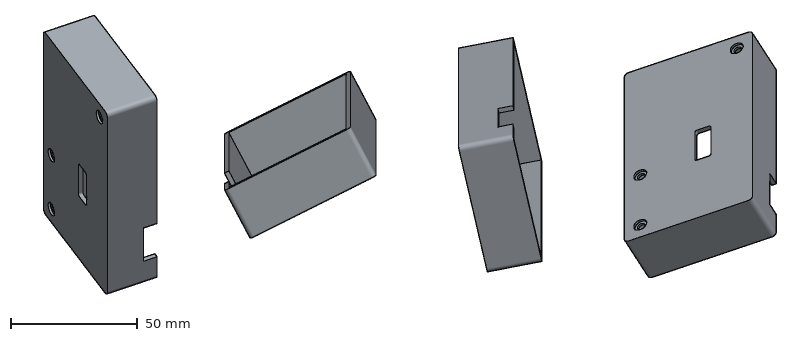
import cadquery as cq

WIDTH = 56.0
DEPTH = 22.0
HEIGHT = 96.0
WALL = 2.0
CORNER_RADIUS = 2.0

HOLE_DIAMETER = 3.2
COUNTERBORE_DIAMETER = 5.55
COUNTERBORE_DEPTH = 1.0
HOLE_INSET = 7.0
MIDDLE_HOLE_Z = 35.4

WINDOW_WIDTH = 7.0
WINDOW_HEIGHT = 17.0
WINDOW_RADIUS = 1.0
WINDOW_CENTER_X = 34.25
WINDOW_CENTER_Z = 41.5

NOTCH_BOTTOM_Z = 12.0
NOTCH_TOP_Z = 29.5
NOTCH_DEPTH = 6.0


def block(x_start, y_start, z_start, x_size, y_size, z_size):
    """Box placed by its lowest corner."""
    box = cq.Workplane("XY").box(x_size, y_size, z_size, centered=False)
    return box.translate((x_start, y_start, z_start))


def make_shell():
    """Front wall and four side walls; the outer corners are rounded along Y."""
    outer = block(0, 0, 0, WIDTH, DEPTH, HEIGHT).edges("|Y").fillet(CORNER_RADIUS)
    cavity = block(WALL, WALL, WALL, WIDTH - 2 * WALL, DEPTH - WALL, HEIGHT - 2 * WALL)
    return outer.cut(cavity)


def front_cylinder(x, z, diameter, depth):
    """Cylinder that enters the front face and runs toward +Y."""
    axis_start = cq.Vector(x, 0, z)
    return cq.Solid.makeCylinder(diameter / 2, depth, axis_start, cq.Vector(0, 1, 0))


def cut_screw_holes(body):
    """Counterbored holes: two along the left side, one in the upper right corner."""
    hole_centers = [
        (HOLE_INSET, HOLE_INSET),
        (HOLE_INSET, MIDDLE_HOLE_Z),
        (WIDTH - HOLE_INSET, HEIGHT - HOLE_INSET),
    ]
    for x, z in hole_centers:
        body = body.cut(front_cylinder(x, z, HOLE_DIAMETER, WALL))
        body = body.cut(front_cylinder(x, z, COUNTERBORE_DIAMETER, COUNTERBORE_DEPTH))
    return body


def cut_window(body):
    """Upright rectangular window with rounded corners."""
    window = block(
        WINDOW_CENTER_X - WINDOW_WIDTH / 2,
        0,
        WINDOW_CENTER_Z - WINDOW_HEIGHT / 2,
        WINDOW_WIDTH,
        WALL,
        WINDOW_HEIGHT,
    )
    return body.cut(window.edges("|Y").fillet(WINDOW_RADIUS))


def cut_side_notch(body):
    """Rectangular notch through the +X wall, starting at the open back."""
    notch_height = NOTCH_TOP_Z - NOTCH_BOTTOM_Z
    notch = block(WIDTH - WALL, DEPTH - NOTCH_DEPTH, NOTCH_BOTTOM_Z, WALL, NOTCH_DEPTH, notch_height)
    return body.cut(notch)


result = make_shell()
result = cut_screw_holes(result)
result = cut_window(result)
result = cut_side_notch(result)